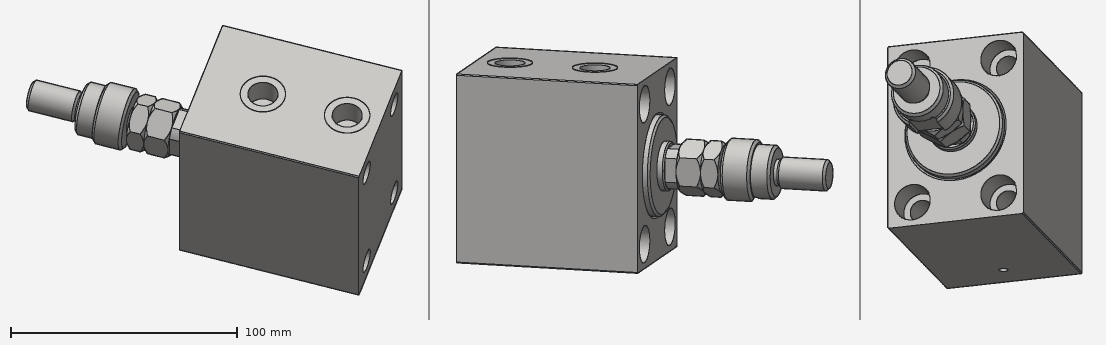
import cadquery as cq
import math


block_length = 83.0
block_width = 63.0
block_height = 85.0
block_edge_chamfer = 0.5

bolt_spacing_y = 40.0
bolt_spacing_z = 63.0
bolt_hole_diameter = 10.5
bolt_head_diameter = 16.5
bolt_head_depth = 13.0

port_spacing = 39.0
rear_port_margin = 15.4
rear_port_x = block_length - rear_port_margin
front_port_x = rear_port_x - port_spacing
port_face_diameter = 20.0
port_face_depth = 0.2
port_thread_diameter = 13.2
port_thread_depth = 12.0
port_duct_diameter = 4.0

gland_diameter = 45.0
gland_projection = 3.0
gland_depth = 17.0
gland_chamfer = 1.0
gland_seat_chamfer = 1.0

rod_diameter = 22.0
rod_chamfer = 0.7
rod_reach_past_port = 10.0
rod_end_x = front_port_x + rod_reach_past_port
neck_diameter = 21.0
neck_across_flats = 18.0
hex_across_flats = 22.0
rod_hex_length = 11.2
neck_length = 5.6
shank_projection = 6.2
neck_end_x = -shank_projection
hex_end_x = neck_end_x - neck_length
hex_start_x = hex_end_x - rod_hex_length

nut_length = 8.0
nut_start_x = hex_start_x - nut_length

thread_diameter = 14.0
undercut_diameter = 11.8
thread_runout = (thread_diameter - undercut_diameter) / 2
stud_end_chamfer = 1.2
undercut_length = 1.6
stud_length = 24.0
flange_diameter = 24.0
flange_length = 8.7
flange_chamfer = 1.2
sleeve_diameter = 28.0
sleeve_length = 13.6
sleeve_chamfer = 1.2
stem_undercut_length = 0.9
stem_engagement = 8.0
slot_width = 12.8
slot_floor_radius = 10.7
slot_overrun_into_flange = 1.3

overall_length = 162.0
tip_x = block_length - overall_length
flange_start_x = tip_x + stud_length
sleeve_start_x = flange_start_x + flange_length
sleeve_end_x = sleeve_start_x + sleeve_length
stem_end_x = hex_start_x + stem_engagement


def cylinder_x(diameter, start_x, end_x):
    """Cylinder on the X axis between two X positions."""
    plane = cq.Workplane("YZ", origin=(start_x, 0, 0))
    return plane.circle(diameter / 2).extrude(end_x - start_x)


def revolve_about_x(points):
    """Turn an (x, radius) outline about the X axis."""
    return cq.Workplane("XY").polyline(points).close().revolve(360, (0, 0, 0), (1, 0, 0))


def chamfered_hexagon(start_x, end_x):
    """Hexagon on the X axis with corners up and down and 45 degree turned ends."""
    corner_radius = hex_across_flats / 2 / math.cos(math.pi / 6)
    face_radius = hex_across_flats / 2
    chamfer = corner_radius - face_radius
    prism = (
        cq.Workplane("YZ", origin=(start_x, 0, 0))
        .transformed(rotate=(0, 0, 90))
        .polygon(6, 2 * corner_radius)
        .extrude(end_x - start_x)
    )
    turned = cylinder_x(2 * corner_radius, start_x, end_x).faces("<X or >X").chamfer(chamfer)
    return prism.intersect(turned)


def port_cutter(port_x, duct_end_z):
    """Spot face, thread hole and narrow duct of one port, from the top face down."""
    top_z = block_height / 2
    cutter = cq.Workplane("XY")
    for diameter, end_z in (
        (port_face_diameter, top_z - port_face_depth),
        (port_thread_diameter, top_z - port_thread_depth),
        (port_duct_diameter, duct_end_z),
    ):
        step = cq.Workplane("XY", origin=(port_x, 0, end_z)).circle(diameter / 2).extrude(top_z - end_z)
        cutter = cutter.union(step)
    return cutter


def make_block():
    body = cq.Workplane("XY").box(block_length, block_width, block_height, centered=(False, True, True))
    body = body.edges("|X").chamfer(block_edge_chamfer)
    body = (
        body.faces("<X").workplane(origin=(0, 0, 0))
        .rarray(bolt_spacing_y, bolt_spacing_z, 2, 2)
        .cboreHole(bolt_hole_diameter, bolt_head_diameter, bolt_head_depth)
    )
    body = body.cut(port_cutter(front_port_x, 0))
    body = body.cut(port_cutter(rear_port_x, -block_height / 2))

    mouth_radius = gland_diameter / 2 + gland_seat_chamfer
    seat = revolve_about_x([
        (0, 0),
        (0, mouth_radius),
        (gland_seat_chamfer, gland_diameter / 2),
        (gland_depth, gland_diameter / 2),
        (gland_depth, rod_diameter / 2),
        (rod_end_x, rod_diameter / 2),
        (rod_end_x, 0),
    ])
    return body.cut(seat)


def make_gland():
    body = cylinder_x(gland_diameter, -gland_projection, gland_depth)
    body = body.faces("<X").chamfer(gland_chamfer)
    return body.cut(cylinder_x(rod_diameter, -gland_projection, gland_depth))


def make_rod():
    shank = cylinder_x(rod_diameter, neck_end_x, rod_end_x).faces("<X").chamfer(rod_chamfer)
    flats = cq.Workplane("XY").box(neck_length, neck_across_flats, neck_across_flats)
    flats = flats.translate(((hex_end_x + neck_end_x) / 2, 0, 0))
    neck = cylinder_x(neck_diameter, hex_end_x, neck_end_x).intersect(flats)
    body = shank.union(neck).union(chamfered_hexagon(hex_start_x, hex_end_x))
    return body.cut(cylinder_x(thread_diameter, hex_start_x, stem_end_x))


def make_lock_nut():
    body = chamfered_hexagon(nut_start_x, hex_start_x)
    return body.cut(cylinder_x(thread_diameter, nut_start_x, hex_start_x))


def make_coupling():
    thread_radius = thread_diameter / 2
    undercut_radius = undercut_diameter / 2
    flange_radius = flange_diameter / 2
    sleeve_radius = sleeve_diameter / 2
    stud_undercut_x = flange_start_x - undercut_length
    stem_undercut_x = sleeve_end_x + stem_undercut_length
    body = revolve_about_x([
        (tip_x, 0),
        (tip_x, thread_radius - stud_end_chamfer),
        (tip_x + stud_end_chamfer, thread_radius),
        (stud_undercut_x - thread_runout, thread_radius),
        (stud_undercut_x, undercut_radius),
        (flange_start_x, undercut_radius),
        (flange_start_x, flange_radius - flange_chamfer),
        (flange_start_x + flange_chamfer, flange_radius),
        (sleeve_start_x, flange_radius),
        (sleeve_start_x, sleeve_radius - sleeve_chamfer),
        (sleeve_start_x + sleeve_chamfer, sleeve_radius),
        (sleeve_end_x - sleeve_chamfer, sleeve_radius),
        (sleeve_end_x, sleeve_radius - sleeve_chamfer),
        (sleeve_end_x, undercut_radius),
        (stem_undercut_x, undercut_radius),
        (stem_undercut_x + thread_runout, thread_radius),
        (stem_end_x, thread_radius),
        (stem_end_x, 0),
    ])

    slot_start_x = sleeve_start_x - slot_overrun_into_flange
    slot = cq.Workplane("XY").box(
        sleeve_end_x - slot_start_x,
        slot_width,
        sleeve_radius - slot_floor_radius,
        centered=(False, True, False),
    )
    return body.cut(slot.translate((slot_start_x, 0, -sleeve_radius)))


block = make_block()
gland = make_gland()
rod = make_rod()
lock_nut = make_lock_nut()
coupling = make_coupling()

result = cq.Compound.makeCompound([
    block.val(),
    gland.val(),
    rod.val(),
    lock_nut.val(),
    coupling.val(),
])